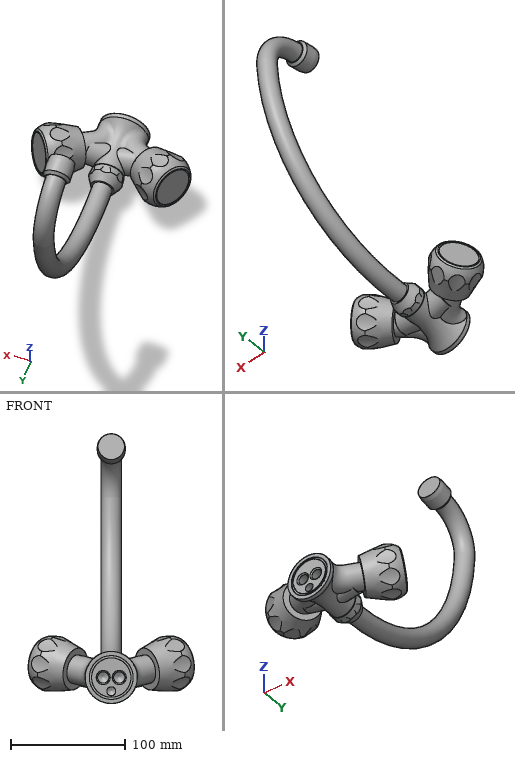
import cadquery as cq
import math


FLANGE_RADIUS = 22.9
FLANGE_THICKNESS = 4.2
CORE_RADIUS = 14.0
FLARE_END = 32.0
CORE_END = 50.0

ARM_RADIUS = 12.8
ARM_AZIMUTH = 34.0
ARM_ELEVATION = 11.0
ARM_ORIGIN_Y = 14.3
ARM_OVERLAP = 2.5
ELBOW_OFFSET = 10.0
ELBOW_BEND_RADIUS = 22.1
SHOULDER_BACK = 46.0
SHOULDER_REACH = 24.3
SHOULDER_RISE = 5.0
SEAM_FILLET = 7.4
SEAM_MIN_HEIGHT = 7.4
SEAM_MAX_Y = 22.1

KNOB_START = 38.5
KNOB_LENGTH = 37.0
KNOB_BACK_RADIUS = 18.7
KNOB_MAX_RADIUS = 25.0
KNOB_MAX_AT = 22.9
KNOB_SHOULDER_RADIUS = 21.0
KNOB_CROWN_DROP = 1.0
KNOB_EDGE = 1.2
KNOB_FACE_RADIUS = 18.0
KNOB_RECESS_DEPTH = 0.7
KNOB_RIM_WIDTH = 1.2
SCALLOP_COUNT = 8
SCALLOP_RADIUS = 32.0
SCALLOP_START = 12.8
SCALLOP_TILT = 4.5

NUT_BASE_RADIUS = 14.7
NUT_MAX_RADIUS = 15.5
NUT_TOP_RADIUS = 10.8
NUT_WIDEST_AT = 57.0
NUT_CONE_START = 58.8
NUT_END = 66.1
NUT_SIDES = 6
NUT_TURN = 180 / NUT_SIDES

PIPE_RADIUS = 9.0
PIPE_ARC_START = 70.0
MAIN_BEND_RADIUS = 167.0
MAIN_BEND_ANGLE = 86.5
TIP_BEND_RADIUS = 39.5
TIP_BEND_ANGLE = 83.0

NOZZLE_RADIUS = 12.3
NOZZLE_MOUTH_RADIUS = 11.5
NOZZLE_NECK_LENGTH = 3.2
NOZZLE_CONE_LENGTH = 2.7
NOZZLE_BARREL_LENGTH = 11.8
NOZZLE_TAPER_LENGTH = 4.7
NOZZLE_BACK_RADIUS = 9.8

GROOVE_OUTER_RADIUS = 19.2
GROOVE_INNER_RADIUS = 17.2
GROOVE_DEPTH = 1.2
INLET_SPACING = 14.0
INLET_RADIUS = 6.1
INLET_BORE_RADIUS = 5.0
INLET_BEVEL = 1.2
INLET_DEPTH = 24.5
FIXING_RADIUS = 4.0
FIXING_DROP = 12.0
FIXING_DEPTH = 9.8
DRILL_HALF_ANGLE = 59.0

ALONG_BODY = cq.Vector(0, 1, 0)


def revolved(profile):
    """Revolve a closed (radial, axial) profile in the XY plane about the Y axis."""
    return profile.revolve(360, (0, 0, 0), (0, 1, 0))


def placed(part, start, direction):
    """Move a part built along +Y so that its base is at start and it points along direction."""
    sideways = direction.cross(cq.Vector(0, 0, 1))
    frame = cq.Plane(start.toTuple(), sideways.toTuple(), sideways.cross(direction).toTuple())
    return cq.Workplane(part.val().moved(cq.Location(frame)))



def make_body():
    drop = FLANGE_RADIUS - CORE_RADIUS
    run = FLARE_END - FLANGE_THICKNESS
    flare_radius = (run**2 + drop**2) / (2 * drop)
    half_turn = math.asin(run / flare_radius) / 2
    flare_middle = (
        CORE_RADIUS + flare_radius * (1 - math.cos(half_turn)),
        FLARE_END - flare_radius * math.sin(half_turn),
    )
    profile = (
        cq.Workplane("XY")
        .lineTo(FLANGE_RADIUS, 0)
        .lineTo(FLANGE_RADIUS, FLANGE_THICKNESS)
        .threePointArc(flare_middle, (CORE_RADIUS, FLARE_END))
        .lineTo(CORE_RADIUS, CORE_END)
        .lineTo(0, CORE_END)
        .close()
    )
    return revolved(profile)



azimuth = math.radians(ARM_AZIMUTH)
elevation = math.radians(ARM_ELEVATION)
arm_direction = cq.Vector(
    math.cos(elevation) * math.cos(azimuth),
    math.cos(elevation) * math.sin(azimuth),
    math.sin(elevation),
)
arm_origin = cq.Vector(0, ARM_ORIGIN_Y, 0)


def make_arm():
    corner = arm_origin + arm_direction * (ELBOW_OFFSET / arm_direction.x)
    turn = arm_direction.getAngle(ALONG_BODY)
    setback = ELBOW_BEND_RADIUS * math.tan(turn / 2)
    inlet = cq.Vector(corner.x, FLANGE_THICKNESS, corner.z)
    bend_start = corner - ALONG_BODY * setback
    bend_end = corner + arm_direction * setback
    arm_end = arm_origin + arm_direction * (KNOB_START + ARM_OVERLAP)
    path = cq.Wire.assembleEdges([
        cq.Edge.makeLine(inlet, bend_start),
        cq.Edge.makeTangentArc(bend_start, ALONG_BODY, bend_end),
        cq.Edge.makeLine(bend_end, arm_end),
    ])
    section = cq.Workplane(cq.Plane(inlet.toTuple(), (1, 0, 0), (0, 1, 0))).circle(ARM_RADIUS)
    return section.sweep(cq.Workplane(path))


def make_shoulder():
    axis = cq.Vector(SHOULDER_REACH, 0, SHOULDER_RISE)
    start = cq.Vector(0, SHOULDER_BACK - ARM_RADIUS, 0)
    return cq.Workplane(cq.Solid.makeCylinder(ARM_RADIUS, axis.Length, start, axis))



def make_knob():
    bevel_start = KNOB_LENGTH - KNOB_EDGE
    crown_middle = (
        KNOB_MAX_RADIUS - KNOB_CROWN_DROP,
        (KNOB_MAX_AT + bevel_start) / 2,
    )
    rim_radius = KNOB_FACE_RADIUS + KNOB_RIM_WIDTH
    recess_floor = KNOB_LENGTH - KNOB_RECESS_DEPTH
    profile = (
        cq.Workplane("XY")
        .lineTo(KNOB_BACK_RADIUS, 0)
        .lineTo(KNOB_MAX_RADIUS, KNOB_MAX_AT)
        .threePointArc(crown_middle, (KNOB_SHOULDER_RADIUS, bevel_start))
        .lineTo(rim_radius, KNOB_LENGTH)
        .lineTo(KNOB_FACE_RADIUS, KNOB_LENGTH)
        .lineTo(KNOB_FACE_RADIUS, recess_floor)
        .lineTo(0, recess_floor)
        .close()
    )
    knob = revolved(profile)
    flank_slope = (KNOB_MAX_RADIUS - KNOB_BACK_RADIUS) / KNOB_MAX_AT
    trough_radius = KNOB_BACK_RADIUS + flank_slope * SCALLOP_START
    cutter = (
        cq.Workplane("XZ")
        .circle(SCALLOP_RADIUS)
        .extrude(KNOB_LENGTH, both=True)
        .rotate((0, 0, 0), (0, 0, 1), -SCALLOP_TILT)
        .translate((trough_radius + SCALLOP_RADIUS, SCALLOP_START, 0))
    )
    for index in range(SCALLOP_COUNT):
        knob = knob.cut(cutter.rotate((0, 0, 0), (0, 1, 0), 360 / SCALLOP_COUNT * index))
    start = arm_origin + arm_direction * KNOB_START
    return placed(knob, start, arm_direction)



def make_nut():
    profile = (
        cq.Workplane("XY")
        .moveTo(0, CORE_END)
        .lineTo(NUT_BASE_RADIUS, CORE_END)
        .lineTo(NUT_MAX_RADIUS, NUT_WIDEST_AT)
        .lineTo(NUT_BASE_RADIUS, NUT_CONE_START)
        .lineTo(NUT_TOP_RADIUS, NUT_END)
        .lineTo(0, NUT_END)
        .close()
    )
    hexagon = (
        cq.Workplane("XZ", origin=(0, CORE_END, 0))
        .polygon(NUT_SIDES, 2 * NUT_BASE_RADIUS, circumscribed=True)
        .extrude(CORE_END - NUT_END)
        .rotate((0, 0, 0), (0, 1, 0), NUT_TURN)
    )
    return revolved(profile).intersect(hexagon)



def heading(angle):
    """Direction in the YZ plane, raised by angle degrees from +Y."""
    return cq.Vector(0, math.cos(math.radians(angle)), math.sin(math.radians(angle)))


def bend_chord(radius, from_angle, to_angle):
    """Displacement along an upward bend between two headings."""
    return (heading(to_angle - 90) - heading(from_angle - 90)) * radius


outlet_angle = MAIN_BEND_ANGLE + TIP_BEND_ANGLE
main_bend_start = ALONG_BODY * PIPE_ARC_START
main_bend_end = main_bend_start + bend_chord(MAIN_BEND_RADIUS, 0, MAIN_BEND_ANGLE)
outlet = main_bend_end + bend_chord(TIP_BEND_RADIUS, MAIN_BEND_ANGLE, outlet_angle)


def make_pipe():
    pipe_start = ALONG_BODY * CORE_END
    path = cq.Wire.assembleEdges([
        cq.Edge.makeLine(pipe_start, main_bend_start),
        cq.Edge.makeTangentArc(main_bend_start, heading(0), main_bend_end),
        cq.Edge.makeTangentArc(main_bend_end, heading(MAIN_BEND_ANGLE), outlet),
    ])
    section = cq.Workplane("XZ", origin=pipe_start.toTuple()).circle(PIPE_RADIUS)
    return section.sweep(cq.Workplane(path))


def make_nozzle():
    cone_end = NOZZLE_NECK_LENGTH + NOZZLE_CONE_LENGTH
    barrel_end = cone_end + NOZZLE_BARREL_LENGTH
    mouth = barrel_end + NOZZLE_TAPER_LENGTH
    profile = (
        cq.Workplane("XY")
        .lineTo(PIPE_RADIUS, 0)
        .lineTo(PIPE_RADIUS, NOZZLE_NECK_LENGTH)
        .lineTo(NOZZLE_BACK_RADIUS, NOZZLE_NECK_LENGTH)
        .lineTo(NOZZLE_RADIUS, cone_end)
        .lineTo(NOZZLE_RADIUS, barrel_end)
        .lineTo(NOZZLE_MOUTH_RADIUS, mouth)
        .lineTo(0, mouth)
        .close()
    )
    return placed(revolved(profile), outlet, heading(outlet_angle))



def make_groove():
    return (
        cq.Workplane("XZ")
        .circle(GROOVE_OUTER_RADIUS)
        .circle(GROOVE_INNER_RADIUS)
        .extrude(-GROOVE_DEPTH)
    )


def make_drilled_hole(x, z, mouth_radius, bevel, bore_radius, depth):
    tip = depth + bore_radius / math.tan(math.radians(DRILL_HALF_ANGLE))
    profile = cq.Workplane("XY").lineTo(mouth_radius, 0)
    if bevel > 0:
        profile = profile.lineTo(bore_radius, bevel)
    profile = profile.lineTo(bore_radius, depth).lineTo(0, tip).close()
    return revolved(profile).translate((x, 0, z))



branch = make_arm().union(make_shoulder())
result = make_body().union(branch).union(branch.mirror("YZ"))
upper_seams = cq.selectors.BoxSelector(
    (-CORE_RADIUS, FLANGE_THICKNESS, SEAM_MIN_HEIGHT),
    (CORE_RADIUS, SEAM_MAX_Y, FLANGE_RADIUS),
)
result = result.edges("%BSPLINE").edges(upper_seams).fillet(SEAM_FILLET)
knob = make_knob()
result = result.union(knob).union(knob.mirror("YZ"))
result = result.union(make_nut()).union(make_pipe()).union(make_nozzle())
result = result.cut(make_groove())
for inlet_x in (-INLET_SPACING / 2, INLET_SPACING / 2):
    result = result.cut(
        make_drilled_hole(inlet_x, 0, INLET_RADIUS, INLET_BEVEL, INLET_BORE_RADIUS, INLET_DEPTH)
    )
result = result.cut(make_drilled_hole(0, -FIXING_DROP, FIXING_RADIUS, 0, FIXING_RADIUS, FIXING_DEPTH))